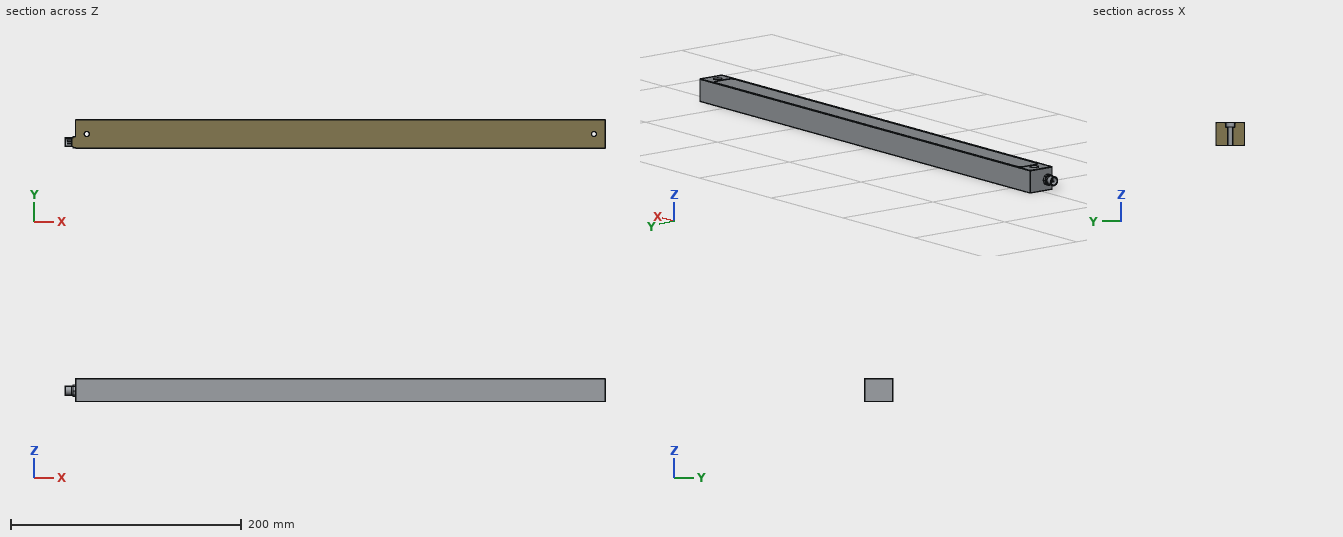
import cadquery as cq

TOTAL_LENGTH = 469.0
HOUSING_WIDTH = 25.0
HOUSING_HEIGHT = 20.0
EDGE_CHAMFER = 0.5

CONNECTOR_LENGTH = 9.0
CONNECTOR_Y = -7.0
CONNECTOR_Z = 9.5
NUT_SIDES = 8
NUT_LENGTH = 2.5
NUT_ACROSS_FLATS = 9.5
SLEEVE_DIAMETER = 8.0
SOCKET_DIAMETER = 6.5
SOCKET_DEPTH = 5.5
PIN_DIAMETER = 1.0
PIN_LENGTH = 3.8
PIN_COUNT = 3
FIRST_PIN_ANGLE = 90
PIN_CIRCLE_DIAMETER = 3.0

WINDOW_END_MARGIN = 16.0
WINDOW_SIDE_MARGIN = 1.5
WINDOW_CORNER_RADIUS = 4.5
WINDOW_DEPTH = 0.5

HOLE_END_DISTANCE = 10.0
HOLE_DIAMETER = 4.0
COUNTERBORE_DIAMETER = 7.5
COUNTERBORE_DEPTH = 4.0

housing_length = TOTAL_LENGTH - CONNECTOR_LENGTH
housing_left = -TOTAL_LENGTH / 2 + CONNECTOR_LENGTH
housing_center_x = housing_left + housing_length / 2


def make_housing():
    """Plain bar resting on Z = 0 with small chamfers on all edges except around the base."""
    bar = cq.Workplane("XY").box(
        housing_length, HOUSING_WIDTH, HOUSING_HEIGHT, centered=(True, True, False)
    )
    return bar.edges("|Z or >Z").chamfer(EDGE_CHAMFER).translate((housing_center_x, 0, 0))


def cut_window(body):
    """Shallow rounded rectangle sunk into the top face."""
    window = (
        cq.Workplane("XY", origin=(housing_center_x, 0, HOUSING_HEIGHT - WINDOW_DEPTH))
        .rect(housing_length - 2 * WINDOW_END_MARGIN, HOUSING_WIDTH - 2 * WINDOW_SIDE_MARGIN)
        .extrude(WINDOW_DEPTH)
        .edges("|Z")
        .fillet(WINDOW_CORNER_RADIUS)
    )
    return body.cut(window)


def cut_mounting_holes(body):
    """One counterbored through hole near each end."""
    hole_offset = housing_length / 2 - HOLE_END_DISTANCE
    return (
        cq.Workplane("XY", origin=(housing_center_x, 0, HOUSING_HEIGHT))
        .add(body)
        .pushPoints([(-hole_offset, 0), (hole_offset, 0)])
        .cboreHole(HOLE_DIAMETER, COUNTERBORE_DIAMETER, COUNTERBORE_DEPTH)
    )


def connector_plane(distance_from_end):
    """Plane across the connector axis, facing -X, ahead of the housing end."""
    return cq.Workplane(
        cq.Plane(
            origin=(housing_left - distance_from_end, CONNECTOR_Y, CONNECTOR_Z),
            xDir=(0, -1, 0),
            normal=(-1, 0, 0),
        )
    )


def make_connector():
    """Octagonal nut and round sleeve, bored out around contact pins."""
    nut = (
        connector_plane(0)
        .transformed(rotate=(0, 0, 180 / NUT_SIDES))
        .polygon(NUT_SIDES, NUT_ACROSS_FLATS, circumscribed=True)
        .extrude(NUT_LENGTH)
    )
    sleeve = connector_plane(0).circle(SLEEVE_DIAMETER / 2).extrude(CONNECTOR_LENGTH)
    socket_floor = CONNECTOR_LENGTH - SOCKET_DEPTH
    socket = connector_plane(socket_floor).circle(SOCKET_DIAMETER / 2).extrude(SOCKET_DEPTH)
    pins = (
        connector_plane(socket_floor)
        .polarArray(PIN_CIRCLE_DIAMETER / 2, FIRST_PIN_ANGLE, 360, PIN_COUNT)
        .circle(PIN_DIAMETER / 2)
        .extrude(PIN_LENGTH)
    )
    return nut.union(sleeve).cut(socket).union(pins)


housing = cut_mounting_holes(cut_window(make_housing()))
result = housing.union(make_connector())